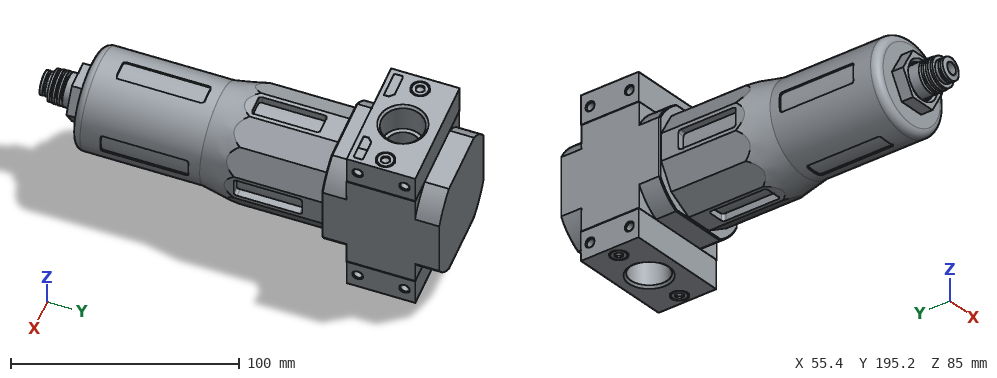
import cadquery as cq
import math


HOUSING_WIDTH = 55.0
HOUSING_HEIGHT = 54.7
HOUSING_BACK_Y = 27.3
HOUSING_FRONT_Y = -27.5
CORNER_DIAMETER = 62.9
FRONT_CHAMFER = 0.49
PORT_DIAMETER = 16.0

BLOCK_WIDTH = 55.0
BLOCK_OFFSET_X = -0.4
BLOCK_LENGTH = 32.0
TOTAL_HEIGHT = 85.0
BLOCK_THICKNESS = (TOTAL_HEIGHT - HOUSING_HEIGHT) / 2
BLOCK_PORT_DIAMETER = 20.1
BLOCK_PORT_CHAMFER = 1.2
SIDE_HOLE_DIAMETER = 4.1
SIDE_HOLE_CHAMFER = 0.49
SIDE_HOLE_DEPTH = 7.8
SIDE_HOLE_Y = 11.0
SIDE_HOLE_Z = 35.0

MARK_DEPTH = 0.2
MARK_TOP_Y = -9.4
MARK_BOTTOM_Y = -13.7
MARK_FILLET = 0.8
MARK_BEVEL = 2.0
LEFT_MARK_X = (-25.5, -12.7)
RIGHT_BOX_X = (25.0, 19.1)
RIGHT_TIP_X = 12.3

SCREW_X = 21.5
HEAD_DIAMETER = 7.5
HEAD_LENGTH = 4.1
HEAD_RECESS_DIAMETER = 8.5
SHANK_DIAMETER = 5.0
SHANK_IN_HOUSING = 7.8
SOCKET_DIAMETER = 4.1
SOCKET_WALL = 1.0
SOCKET_DEPTH = 2.0

GUARD_START_Y = HOUSING_FRONT_Y
FACET_COUNT = 12
FACET_FLATS = 53.1
FACET_END_Y = -69.0
GUARD_DIAMETER = 48.2
TAPER_END_Y = -85.9
GUARD_END_Y = -145.6
GUARD_FILLET = 4.0
HEX_FLATS = 24.0
HEX_LENGTH = 6.2
WINDOW_WIDTH = 10.2
WINDOW_FILLET = 1.4
WINDOW_Y_RANGES = ((-69.0, -37.0), (-132.2, -91.2))

BOWL_DIAMETER = 46.5
BOWL_END_Y = -141.7

TIP_Y = -167.9
STEM_DIAMETER = 16.0
STEM_RECESS_DIAMETER = 18.0
STEM_RECESS_CHAMFER = 1.27
STEM_RECESS_DEPTH = 3.1
STEM_END_Y = -156.0
NECK_DIAMETER = 11.0
RING_DIAMETERS = (16.0, 15.8, 15.2)
RING_THICKNESS = 1.2
RING_PITCH = 2.3
FIRST_RING_Y = -157.3
NOSE_DIAMETER = 11.5
NOSE_END_Y = -165.0
NOSE_GROOVE_DIAMETER = 8.5
NOSE_GROOVE_WIDTH = 1.2
NOSE_CONE_HEIGHT = 0.4
NOSE_CONE_END_DIAMETER = 7.2
OUTLET_DIAMETER = 6.0
OUTLET_DEPTH = 9.8

SIDES = (1, -1)


def rod(diameter, start_y, length):
    """Cylinder on the filter axis from start_y towards -Y."""
    return cq.Workplane("XZ", origin=(0, start_y, 0)).circle(diameter / 2).extrude(length)


def cone(start_diameter, end_diameter, start_y, length):
    """Truncated cone on the filter axis from start_y towards -Y."""
    return cq.Workplane(
        cq.Solid.makeCone(
            start_diameter / 2, end_diameter / 2, length,
            cq.Vector(0, start_y, 0), cq.Vector(0, -1, 0),
        )
    )


def vertical_rod(diameter, x, start_z, length):
    """Cylinder along +Z at (x, 0)."""
    return cq.Workplane("XY", origin=(x, 0, start_z)).circle(diameter / 2).extrude(length)


def to_side(shape, side):
    """Keep an upper shape for side 1, or mirror it to the lower side for side -1."""
    return shape if side > 0 else shape.mirror("XY")


def make_housing():
    half_height = HOUSING_HEIGHT / 2
    length = HOUSING_BACK_Y - HOUSING_FRONT_Y
    ends = cq.Workplane("XZ", origin=(0, HOUSING_BACK_Y, 0)).rect(HOUSING_WIDTH, HOUSING_HEIGHT)
    ends = ends.extrude(length).intersect(rod(CORNER_DIAMETER, HOUSING_BACK_Y, length))
    ends = ends.faces("<Y").edges().chamfer(FRONT_CHAMFER)
    housing = ends.union(cq.Workplane().box(HOUSING_WIDTH, BLOCK_LENGTH, HOUSING_HEIGHT))

    housing = housing.cut(vertical_rod(PORT_DIAMETER, 0, -half_height, HOUSING_HEIGHT))
    for side in SIDES:
        for x in (-SCREW_X, SCREW_X):
            start_z = half_height - SHANK_IN_HOUSING
            hole = vertical_rod(SHANK_DIAMETER, x, start_z, SHANK_IN_HOUSING)
            housing = housing.cut(to_side(hole, side))
    return housing


def make_block():
    """Upper block without its marks."""
    bottom_z = HOUSING_HEIGHT / 2
    top_z = TOTAL_HEIGHT / 2
    block = cq.Workplane("XY", origin=(BLOCK_OFFSET_X, 0, bottom_z))
    block = block.rect(BLOCK_WIDTH, BLOCK_LENGTH).extrude(BLOCK_THICKNESS)
    block = block.cut(vertical_rod(BLOCK_PORT_DIAMETER, 0, bottom_z, BLOCK_THICKNESS))
    block = block.faces(">Z").edges("%CIRCLE").chamfer(BLOCK_PORT_CHAMFER)

    for x in (-SCREW_X, SCREW_X):
        block = block.cut(vertical_rod(SHANK_DIAMETER, x, bottom_z, BLOCK_THICKNESS))
        recess = vertical_rod(HEAD_RECESS_DIAMETER, x, top_z - HEAD_LENGTH, HEAD_LENGTH)
        block = block.cut(recess)

    for face in ("<X", ">X"):
        block = (
            block.faces(face).workplane(origin=(0, 0, SIDE_HOLE_Z))
            .pushPoints([(-SIDE_HOLE_Y, 0), (SIDE_HOLE_Y, 0)])
            .cskHole(SIDE_HOLE_DIAMETER, SIDE_HOLE_DIAMETER + 2 * SIDE_HOLE_CHAMFER, 90, SIDE_HOLE_DEPTH)
        )
    return block


def bevelled_mark(outer_x, inner_x, depth):
    """Mark from outer_x to inner_x whose inner rear corner is cut off."""
    bevel_x = inner_x - math.copysign(MARK_BEVEL, inner_x - outer_x)
    mark = cq.Workplane("XY", origin=(0, 0, TOTAL_HEIGHT / 2)).polyline([
        (outer_x, MARK_BOTTOM_Y), (outer_x, MARK_TOP_Y), (bevel_x, MARK_TOP_Y),
        (inner_x, MARK_TOP_Y - MARK_BEVEL), (inner_x, MARK_BOTTOM_Y),
    ])
    return mark.close().extrude(-depth)


def make_marks():
    """Left arrow, and right arrow whose tip is deeper than its box."""
    box_x, tip_start_x = RIGHT_BOX_X
    left = bevelled_mark(*LEFT_MARK_X, MARK_DEPTH).edges("|Z and <X").fillet(MARK_FILLET)
    right = bevelled_mark(box_x, RIGHT_TIP_X, MARK_DEPTH).edges("|Z and >X").fillet(MARK_FILLET)
    tip = bevelled_mark(tip_start_x, RIGHT_TIP_X, 2 * MARK_DEPTH)
    return left.union(right).union(tip)


def make_screw(x):
    """Upper block screw, its head flush with the block."""
    top_z = TOTAL_HEIGHT / 2
    seat_z = top_z - HEAD_LENGTH
    bottom_z = HOUSING_HEIGHT / 2 - SHANK_IN_HOUSING
    screw = vertical_rod(SHANK_DIAMETER, x, bottom_z, seat_z - bottom_z)
    screw = screw.union(vertical_rod(HEAD_DIAMETER, x, seat_z, HEAD_LENGTH))
    socket_profile = [
        (0, 0), (SOCKET_DIAMETER / 2, 0), (SOCKET_DIAMETER / 2, -SOCKET_WALL), (0, -SOCKET_DEPTH),
    ]
    socket = cq.Workplane("XZ", origin=(x, 0, top_z)).polyline(socket_profile).close()
    return screw.cut(socket.revolve(360, (0, 0, 0), (0, 1, 0)))


def make_bowl():
    """Plain round bowl that fills the guard."""
    return rod(BOWL_DIAMETER, GUARD_START_Y, GUARD_START_Y - BOWL_END_Y)


def window(y_range, turn):
    """Window cutter reaching outwards from the axis, turned about the filter axis."""
    start_y, end_y = y_range
    cutter = cq.Workplane("XY", origin=(0, (start_y + end_y) / 2, 0))
    cutter = cutter.rect(WINDOW_WIDTH, end_y - start_y).extrude(FACET_FLATS)
    cutter = cutter.edges("|Z").fillet(WINDOW_FILLET)
    return cutter.rotate((0, 0, 0), (0, 1, 0), turn)


def make_guard():
    corner_diameter = FACET_FLATS / math.cos(math.pi / FACET_COUNT)
    length = GUARD_START_Y - GUARD_END_Y
    taper_length = FACET_END_Y - TAPER_END_Y

    guard = rod(corner_diameter, GUARD_START_Y, GUARD_START_Y - FACET_END_Y)
    guard = guard.union(cone(corner_diameter, GUARD_DIAMETER, FACET_END_Y, taper_length))
    guard = guard.union(rod(GUARD_DIAMETER, TAPER_END_Y, TAPER_END_Y - GUARD_END_Y))
    guard = guard.faces("<Y").edges().fillet(GUARD_FILLET)

    facets = cq.Workplane("XZ", origin=(0, GUARD_START_Y, 0)).polygon(FACET_COUNT, corner_diameter)
    facets = facets.extrude(length).rotate((0, 0, 0), (0, 1, 0), 180 / FACET_COUNT)
    guard = guard.intersect(facets)

    hexagon = cq.Workplane("XZ", origin=(0, GUARD_END_Y, 0))
    hexagon = hexagon.polygon(6, HEX_FLATS / math.cos(math.pi / 6)).extrude(HEX_LENGTH)
    guard = guard.union(hexagon)

    guard = guard.cut(make_bowl())
    for turn in (0, 90, 180, 270):
        for y_range in WINDOW_Y_RANGES:
            guard = guard.cut(window(y_range, turn))

    hex_end_y = GUARD_END_Y - HEX_LENGTH
    guard = guard.cut(rod(STEM_DIAMETER, BOWL_END_Y, BOWL_END_Y - hex_end_y))
    guard = guard.cut(rod(STEM_RECESS_DIAMETER, hex_end_y + STEM_RECESS_DEPTH, STEM_RECESS_DEPTH))
    rim_diameter = STEM_RECESS_DIAMETER + 2 * STEM_RECESS_CHAMFER
    rim = cone(STEM_RECESS_DIAMETER, rim_diameter, hex_end_y + STEM_RECESS_CHAMFER, STEM_RECESS_CHAMFER)
    return guard.cut(rim)


def make_drain():
    cone_start_y = TIP_Y + NOSE_CONE_HEIGHT
    groove_end_y = NOSE_END_Y - NOSE_GROOVE_WIDTH
    rings_end_y = FIRST_RING_Y - (len(RING_DIAMETERS) - 1) * RING_PITCH - RING_THICKNESS

    drain = rod(STEM_DIAMETER, BOWL_END_Y, BOWL_END_Y - STEM_END_Y)
    drain = drain.union(rod(NECK_DIAMETER, STEM_END_Y, STEM_END_Y - rings_end_y))
    for index, diameter in enumerate(RING_DIAMETERS):
        drain = drain.union(rod(diameter, FIRST_RING_Y - index * RING_PITCH, RING_THICKNESS))
    drain = drain.union(rod(NOSE_DIAMETER, rings_end_y, rings_end_y - NOSE_END_Y))
    drain = drain.union(rod(NOSE_GROOVE_DIAMETER, NOSE_END_Y, NOSE_GROOVE_WIDTH))
    drain = drain.union(rod(NOSE_DIAMETER, groove_end_y, groove_end_y - cone_start_y))
    drain = drain.union(cone(NOSE_DIAMETER, NOSE_CONE_END_DIAMETER, cone_start_y, NOSE_CONE_HEIGHT))
    return drain.cut(rod(OUTLET_DIAMETER, TIP_Y + OUTLET_DEPTH, OUTLET_DEPTH))


housing = make_housing()
upper_block = make_block().cut(make_marks())
lower_block = make_block().mirror("XY")
screws = [to_side(make_screw(x), side) for side in SIDES for x in (-SCREW_X, SCREW_X)]
guard = make_guard()
bowl = make_bowl()
drain = make_drain()

result = cq.Compound.makeCompound([
    housing.val(),
    upper_block.val(),
    lower_block.val(),
    *[screw.val() for screw in screws],
    guard.val(),
    bowl.val(),
    drain.val(),
])